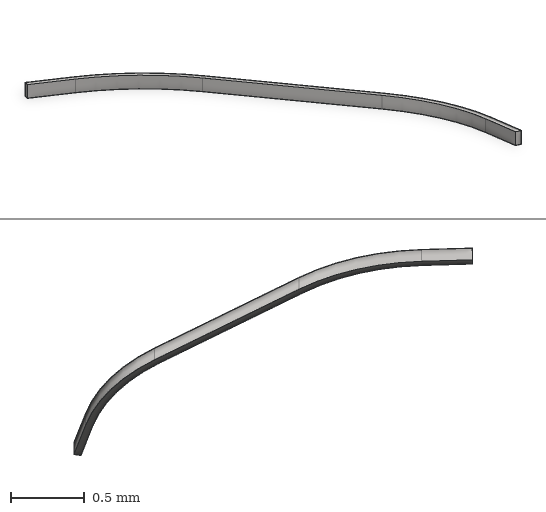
import cadquery as cq
import math

span = 3.51
height = 0.1
thickness = 0.05
flat_length = 1.27
outer_radius = 1.405
bend_angle = math.radians(37.0)

half_span = span / 2
half_flat = flat_length / 2
inner_radius = outer_radius - thickness


def point_on_bend(radius, angle):
    """Point on the right-hand bend, measured from its tangency with the flat.

    The outer face of the flat lies on Y = 0.
    """
    x = half_flat + radius * math.sin(angle)
    y = radius * math.cos(angle) - outer_radius
    return (x, y)


def mirrored(point):
    return (-point[0], point[1])


outer_start = point_on_bend(outer_radius, 0)
outer_middle = point_on_bend(outer_radius, bend_angle / 2)
outer_end = point_on_bend(outer_radius, bend_angle)
leg_run = half_span - outer_end[0]
outer_tip = (half_span, outer_end[1] - leg_run * math.tan(bend_angle))

inner_start = point_on_bend(inner_radius, 0)
inner_middle = point_on_bend(inner_radius, bend_angle / 2)
inner_end = point_on_bend(inner_radius, bend_angle)
inner_tip = (
    outer_tip[0] - thickness * math.sin(bend_angle),
    outer_tip[1] - thickness * math.cos(bend_angle),
)

profile = (
    cq.Workplane("XY")
    .moveTo(*mirrored(outer_tip))
    .lineTo(*mirrored(outer_end))
    .threePointArc(mirrored(outer_middle), mirrored(outer_start))
    .lineTo(*outer_start)
    .threePointArc(outer_middle, outer_end)
    .lineTo(*outer_tip)
    .lineTo(*inner_tip)
    .lineTo(*inner_end)
    .threePointArc(inner_middle, inner_start)
    .lineTo(*mirrored(inner_start))
    .threePointArc(mirrored(inner_middle), mirrored(inner_end))
    .lineTo(*mirrored(inner_tip))
    .close()
)

result = profile.extrude(height)